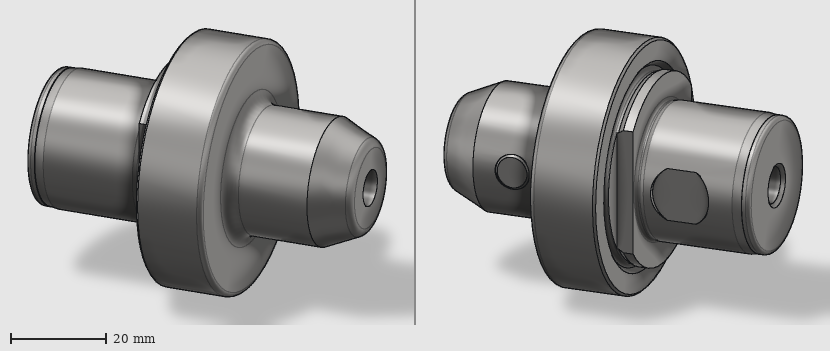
import cadquery as cq
import math

length = 72.0
shank_groove_start = 1.8
shank_groove_depth = 0.1
shank_land_start = 3.9
shank_land_end = 24.1
shank_relief_start = 25.0
collar_start = 26.1
collar_taper_start = 28.3
collar_neck_start = 29.4
flat_end = 29.7
groove_bottom = 31.0
flange_start = 29.95
flange_end = 44.9
nose_taper_start = 63.35

shank_radius = 15.05
relief_radius = 14.8
shank_root_radius = 15.5
collar_radius = 20.95
neck_radius = 20.5
groove_radius = 21.5
flange_radius = 27.5
nose_radius = 14.0
nose_end_radius = 10.1

shank_round = 0.9
flange_chamfer = 0.5
flange_round = 1.1
nose_fillet = 2.9
nose_end_round = 2.15
bore_chamfer = 0.8

bore_radius = 3.95
collar_flat_width = 31.8
recess_x = 15.85
recess_radius = 6.6
recess_floor_y = 13.9
screw_x = 54.4
screw_radius = 3.9
screw_tip_y = 3.45
screw_chamfer = 0.5


def arc_point(center_x, center_r, radius, angle):
    """Point on an arc in the (x, radius) half plane."""
    turn = math.radians(angle)
    return center_x + radius * math.cos(turn), center_r + radius * math.sin(turn)


def turned_body():
    """Shank, collar, groove, flange and nose revolved in one piece."""
    shank_mid = arc_point(shank_round, relief_radius - shank_round, shank_round, 135)
    root_fillet = shank_root_radius - relief_radius
    root_mid = arc_point(collar_start - root_fillet, shank_root_radius, root_fillet, -45)
    groove_fillet = groove_radius - neck_radius
    groove_mid = arc_point(groove_bottom - groove_fillet, groove_radius, groove_fillet, -45)
    groove_mouth_radius = groove_radius + groove_bottom - flange_start
    flange_mid = arc_point(flange_end - flange_round, flange_radius - flange_round, flange_round, 45)
    nose_mid = arc_point(flange_end + nose_fillet, nose_radius + nose_fillet, nose_fillet, 225)
    profile = (
        cq.Workplane("XZ")
        .moveTo(0, 0)
        .lineTo(0, relief_radius - shank_round)
        .threePointArc(shank_mid, (shank_round, relief_radius))
        .lineTo(shank_groove_start, relief_radius)
        .lineTo(shank_groove_start + shank_groove_depth, relief_radius - shank_groove_depth)
        .lineTo(shank_land_start, shank_radius)
        .lineTo(shank_land_end, shank_radius)
        .lineTo(shank_relief_start, relief_radius)
        .lineTo(collar_start - root_fillet, relief_radius)
        .threePointArc(root_mid, (collar_start, shank_root_radius))
        .lineTo(collar_start, collar_radius)
        .lineTo(collar_taper_start, collar_radius)
        .lineTo(collar_neck_start, neck_radius)
        .lineTo(groove_bottom - groove_fillet, neck_radius)
        .threePointArc(groove_mid, (groove_bottom, groove_radius))
        .lineTo(flange_start, groove_mouth_radius)
        .lineTo(flange_start, flange_radius - flange_chamfer)
        .lineTo(flange_start + flange_chamfer, flange_radius)
        .lineTo(flange_end - flange_round, flange_radius)
        .threePointArc(flange_mid, (flange_end, flange_radius - flange_round))
        .lineTo(flange_end, nose_radius + nose_fillet)
        .threePointArc(nose_mid, (flange_end + nose_fillet, nose_radius))
        .lineTo(nose_taper_start, nose_radius)
        .lineTo(length, nose_end_radius)
        .lineTo(length, 0)
        .close()
    )
    body = profile.revolve(360, (0, 0, 0), (1, 0, 0))
    return body.faces(">X").edges().fillet(nose_end_round)


def axial_bore():
    """Through bore along X with a chamfered mouth at the shank end."""
    mouth_radius = bore_radius + bore_chamfer
    return (
        cq.Workplane("XZ")
        .polyline([(0, 0), (0, mouth_radius), (bore_chamfer, bore_radius), (length, bore_radius), (length, 0)])
        .close()
        .revolve(360, (0, 0, 0), (1, 0, 0))
    )


def collar_flats():
    """Material removed on both Y sides of the collar, leaving two wrench flats."""
    flat_length = flat_end - collar_start
    blank = cq.Workplane("XY").box(flat_length, 2 * collar_radius, 2 * collar_radius)
    kept = cq.Workplane("XY").box(flat_length, collar_flat_width, 2 * collar_radius)
    return blank.cut(kept).translate((collar_start + flat_length / 2, 0, 0))


def cross_cylinder(x, radius, start_y, end_y):
    """Cylinder along +Y at the given X station."""
    axis_start = cq.Vector(x, start_y, 0)
    return cq.Workplane(cq.Solid.makeCylinder(radius, end_y - start_y, axis_start, cq.Vector(0, 1, 0)))


def make_holder():
    """Turned holder with its bore, wrench flats, clamping recess and screw hole."""
    recess = cross_cylinder(recess_x, recess_radius, recess_floor_y, shank_radius)
    screw_hole = cross_cylinder(screw_x, screw_radius, 0, nose_radius)
    return turned_body().cut(axial_bore()).cut(collar_flats()).cut(recess).cut(screw_hole)


def make_screw():
    """Set screw whose tip reaches into the bore, with a chamfered outer end."""
    screw = cross_cylinder(screw_x, screw_radius, screw_tip_y, nose_radius)
    return screw.faces(">Y").chamfer(screw_chamfer)


holder = make_holder()
set_screw = make_screw()

result = cq.Compound.makeCompound([holder.val(), set_screw.val()])